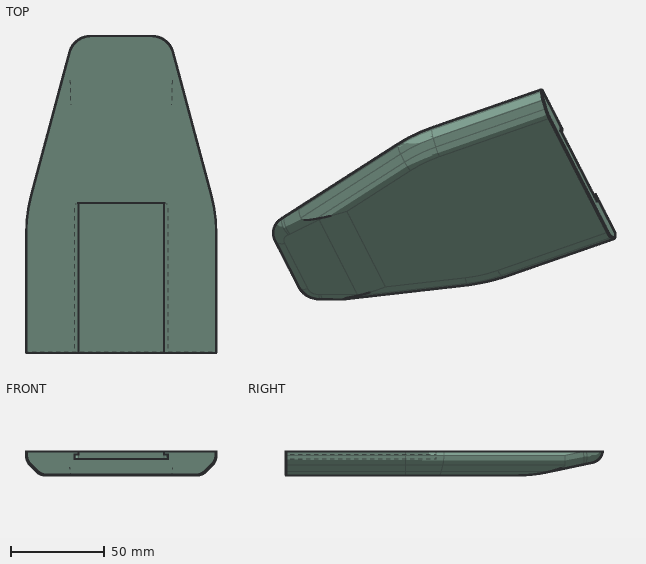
import cadquery as cq
import math

length = 170.0
width = 102.0
thickness = 13.0

taper_angle = math.radians(15)
taper_start = 74.6
shoulder_radius = 79.9
nose_corner_radius = 11.9

side_bevel = 7.8
underside_radius = 7.3
nose_slope_length = 38.0
nose_slope_angle = math.radians(12)
slope_blend_radius = 78.2
rear_chamfer = 0.5

slot_length = 80.5
slot_opening_width = 45.9
slot_width = 50.0
slot_depth = 4.0
lip_thickness = 1.5

tolerance = 0.02

half_width = width / 2
nose_half_width = half_width - (length - taper_start) * math.tan(taper_angle)


def make_blank():
    """Tapered plate with rounded shoulders and nose corners."""
    blank = (
        cq.Workplane("XY")
        .workplane(offset=-thickness)
        .polyline([
            (-half_width, 0),
            (half_width, 0),
            (half_width, taper_start),
            (nose_half_width, length),
            (-nose_half_width, length),
            (-half_width, taper_start),
        ])
        .close()
        .extrude(thickness)
    )
    shoulders = cq.selectors.BoxSelector(
        (-width, taper_start - tolerance, -thickness), (width, taper_start + tolerance, 0)
    )
    blank = blank.edges("|Z").edges(shoulders).fillet(shoulder_radius)
    return blank.edges("|Z and >Y").fillet(nose_corner_radius)


def make_nose_profile():
    """Side profile prism whose underside rises toward the nose."""
    tip_depth = thickness - nose_slope_length * math.tan(nose_slope_angle)
    prism = (
        cq.Workplane("YZ")
        .polyline([
            (0, 0),
            (0, -thickness),
            (length - nose_slope_length, -thickness),
            (length, -tip_depth),
            (length, 0),
        ])
        .close()
        .extrude(half_width, both=True)
    )
    slope_start = cq.selectors.NearestToPointSelector(
        (0, length - nose_slope_length, -thickness)
    )
    return prism.edges("|X").edges(slope_start).fillet(slope_blend_radius)


def make_slot():
    """T-shaped slot cutter with a rounded wide lower part."""
    opening = cq.Workplane("XY").rect(slot_opening_width, 2 * slot_length).extrude(-slot_depth)
    overhang = (slot_width - slot_opening_width) / 2
    undercut = (
        cq.Workplane("XY")
        .workplane(offset=-slot_depth)
        .rect(slot_width, 2 * slot_length)
        .extrude(slot_depth - lip_thickness)
        .edges("|Z")
        .fillet(overhang)
    )
    return opening.union(undercut)


def make_bevelled_body(blank):
    """Blank with a rounded 45 degree bevel around its lower edge."""
    bevelled = (
        blank.faces("<Z")
        .edges("not <Y")
        .chamfer(side_bevel)
    )
    bevel_top = -thickness + side_bevel
    bevel_edges = bevelled.faces("<Z").edges("not <Y").vals()
    bevel_edges += [
        edge
        for edge in bevelled.edges("#Z").vals()
        if abs(edge.Center().z - bevel_top) < tolerance and edge.Center().y > tolerance
    ]
    return bevelled.newObject(bevel_edges).fillet(underside_radius)


def make_nosed_body(blank):
    """Blank with a rising nose and a rounded rim around the slope."""
    nosed = blank.intersect(make_nose_profile())
    slope_middle = (0, length - nose_slope_length / 2, -thickness)
    slope = nosed.faces(cq.selectors.NearestToPointSelector(slope_middle))
    return slope.edges("(not |X) or >Y").fillet(underside_radius)


def chamfer_rear(body):
    """Small chamfer around the rear face, leaving the top and slot edges sharp."""
    rear_edges = [
        edge
        for edge in body.faces("<Y").edges().vals()
        if edge.Center().z < -tolerance
        and (
            abs(edge.Center().x) > slot_width / 2 + tolerance
            or edge.Center().z < -slot_depth - tolerance
        )
    ]
    return body.newObject(rear_edges).chamfer(rear_chamfer)


blank = make_blank()
body = make_bevelled_body(blank).intersect(make_nosed_body(blank))
result = chamfer_rear(body.cut(make_slot()))